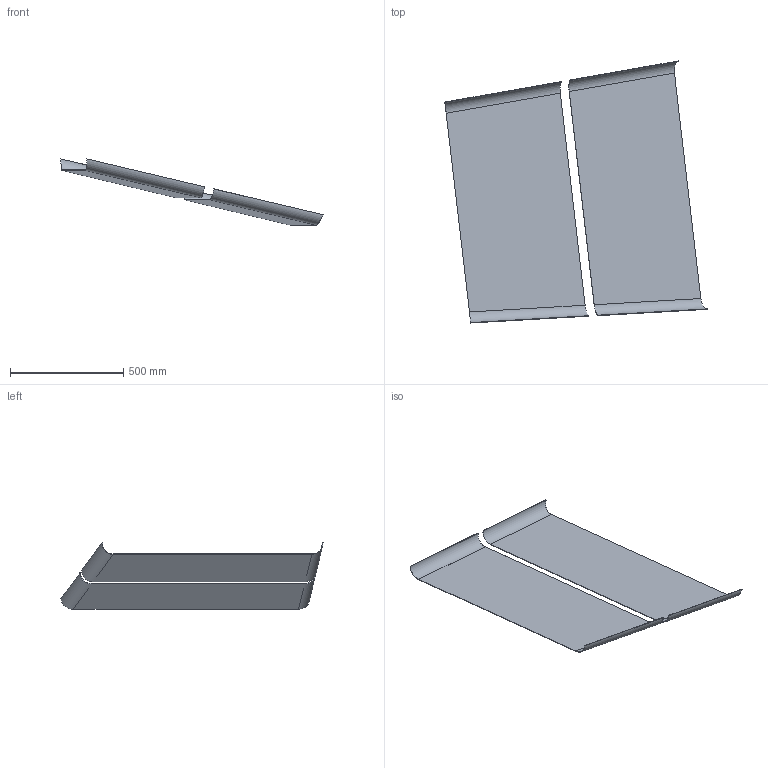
import cadquery as cq
import math

sheet_thickness = 2.0
flange_outer_radius = 50.0
flange_radius = flange_outer_radius - sheet_thickness

slope = 13.324
heading = 6.675
upper_panel_length = 525.276
panel_gap = 41.125
lower_panel_length = 484.0
total_length = upper_panel_length + panel_gap + lower_panel_length
end_lean = 13.5
gap_lean = 0.0

uphill_fold_width = 883.887
fold_taper = 3.25
fold_overrun = 100.0


def half_sheet(side):
    """Half of the flanged sheet, untrimmed: side = 1 for the +Y half, -1 for the -Y half."""
    half_width = uphill_fold_width / 2
    fold_frame = cq.Plane(
        origin=(0, half_width, 0),
        xDir=(-math.sin(math.radians(fold_taper)), math.cos(math.radians(fold_taper)), 0),
        normal=(math.cos(math.radians(fold_taper)), math.sin(math.radians(fold_taper)), 0),
    )
    diagonal = math.sqrt(0.5)
    section = (
        cq.Workplane(fold_frame)
        .workplane(offset=-fold_overrun)
        .moveTo(-2 * half_width, 0)
        .lineTo(0, 0)
        .threePointArc(
            (flange_radius * diagonal, flange_radius * (1 - diagonal)),
            (flange_radius, flange_radius),
        )
        .lineTo(flange_outer_radius, flange_radius)
        .threePointArc(
            (flange_outer_radius * diagonal, flange_radius - flange_outer_radius * diagonal),
            (0, -sheet_thickness),
        )
        .lineTo(-2 * half_width, -sheet_thickness)
        .close()
        .extrude(total_length + 2 * fold_overrun)
    )
    reach = 2 * total_length
    half_space = cq.Workplane("XY").box(2 * reach, reach, reach, centered=(True, False, True))
    half = section.intersect(half_space)
    return half if side > 0 else half.mirror("XZ")


def trim_block(start, end, lean_at_start, lean_at_end):
    """Block between two end faces that pass through Z = 0 at X = start and X = end.

    A lean is the outward tilt of its end face from the sheet normal, in degrees.
    """
    depth = flange_outer_radius
    height = 2 * flange_outer_radius
    start_slant = math.tan(math.radians(lean_at_start))
    end_slant = math.tan(math.radians(lean_at_end))
    return (
        cq.Workplane("XZ")
        .polyline([
            (start + depth * start_slant, -depth),
            (end - depth * end_slant, -depth),
            (end + height * end_slant, height),
            (start - height * start_slant, height),
        ])
        .close()
        .extrude(2 * uphill_fold_width, both=True)
    )


def place(panel):
    """Move a panel from the sheet plane to its tilted and turned position."""
    return (
        panel.translate((-total_length / 2, 0, 0))
        .rotate((0, 0, 0), (0, 1, 0), slope)
        .rotate((0, 0, 0), (0, 0, 1), heading)
    )


flanged_sheet = half_sheet(1).union(half_sheet(-1)).clean()

upper_panel = place(
    flanged_sheet.intersect(trim_block(0, upper_panel_length, end_lean, gap_lean))
)

lower_start = upper_panel_length + panel_gap
lower_panel = place(
    flanged_sheet.intersect(trim_block(lower_start, total_length, gap_lean, end_lean))
)

result = cq.Compound.makeCompound([upper_panel.solids().val(), lower_panel.solids().val()])